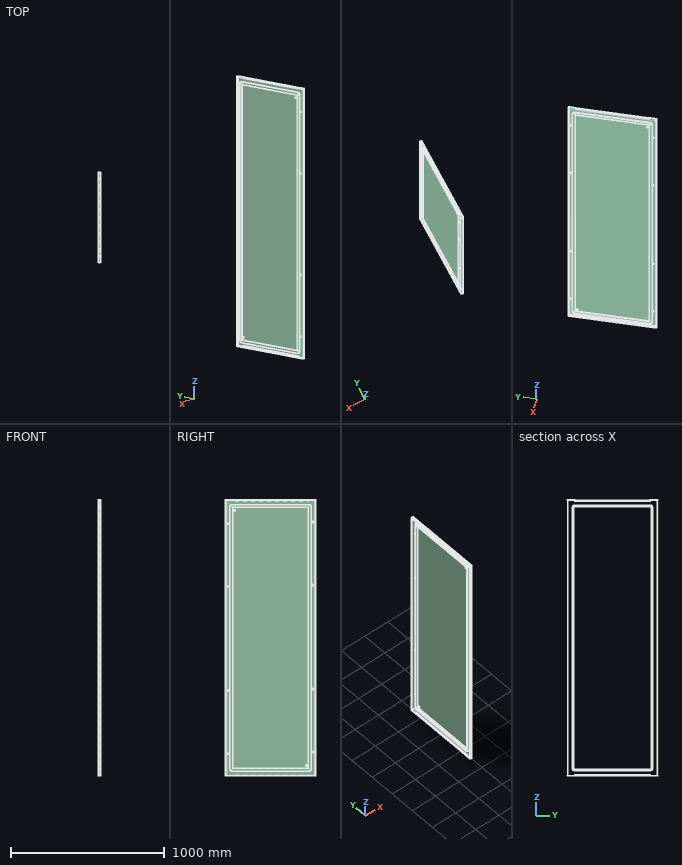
import cadquery as cq
import math

DEPTH = 17.0
WIDTH = 588.56
HEIGHT = 1796.0
SHEET = 1.5
INNER_FACE_X = DEPTH - SHEET

SIDE_BEND_RADIUS = 8.0
SIDE_LIP_LEAN = math.radians(15.0)
SIDE_LIP_START_X = 1.0

END_BEND_RADIUS = 3.0
END_LIP_DEPTH = 8.0
END_LIP_LENGTH = 492.0

GASKET_RADIUS = 9.25
GASKET_INNER_Y = 247.2
GASKET_INNER_Z = 850.0

HOLE_DIAMETER = 6.0
SIDE_HOLE_Y = 273.2
SIDE_HOLE_PAIR_MIDDLE_Z = 543.5
SIDE_HOLE_PAIR_PITCH = 411.0
SIDE_HOLE_ROW_SHIFT = 5.5

CORNER_HOLE_Y = 232.5
CORNER_HOLE_Z = 830.5


def block(x_min, x_max, y_size, z_size, z_middle=0.0):
    """Box centred on Y."""
    return cq.Workplane("XY").box(x_max - x_min, y_size, z_size).translate(
        ((x_min + x_max) / 2, 0, z_middle)
    )


def side_profile_solid(face_x, bend_radius):
    """Full-height solid bounded by both side bends and lips, from X = 0 to face_x."""
    centre_x = DEPTH - SIDE_BEND_RADIUS
    centre_y = WIDTH / 2 - SIDE_BEND_RADIUS

    def on_bend(angle):
        return centre_x + bend_radius * math.cos(angle), centre_y + bend_radius * math.sin(angle)

    bend_angle = math.pi / 2 + SIDE_LIP_LEAN
    middle_x, middle_y = on_bend(bend_angle / 2)
    lip_x, lip_y = on_bend(bend_angle)
    tip_y = lip_y - lip_x * math.tan(SIDE_LIP_LEAN)
    return (
        cq.Workplane("XY")
        .workplane(offset=-HEIGHT / 2)
        .moveTo(0, -tip_y)
        .lineTo(lip_x, -lip_y)
        .threePointArc((middle_x, -middle_y), (face_x, -centre_y))
        .lineTo(face_x, centre_y)
        .threePointArc((middle_x, middle_y), (lip_x, lip_y))
        .lineTo(0, tip_y)
        .close()
        .extrude(HEIGHT)
    )


def end_lip(side):
    """Return lip of the top (side = 1) or bottom (side = -1) flange."""
    middle_z = side * (HEIGHT - END_LIP_DEPTH) / 2
    return block(0, SHEET, END_LIP_LENGTH, END_LIP_DEPTH, middle_z)


def end_lip_rounding(side):
    """Material outside the bend between an end flange and its lip."""
    bend_z = side * (HEIGHT / 2 - END_BEND_RADIUS)
    corner_z = bend_z + side * END_BEND_RADIUS / 2
    corner = block(0, END_BEND_RADIUS, END_LIP_LENGTH, END_BEND_RADIUS, corner_z)
    roll = (
        cq.Workplane("XZ")
        .center(END_BEND_RADIUS, bend_z)
        .circle(END_BEND_RADIUS)
        .extrude(END_LIP_LENGTH / 2, both=True)
    )
    return corner.cut(roll)


def make_sheet():
    """Tray with bent sides, end flanges and end lips."""
    outer_ends = block(0, DEPTH, WIDTH, HEIGHT).edges(">X and |Y").fillet(END_BEND_RADIUS)
    sheet = side_profile_solid(DEPTH, SIDE_BEND_RADIUS).intersect(outer_ends)

    cavity_ends = (
        block(0, INNER_FACE_X, WIDTH, HEIGHT - 2 * SHEET)
        .edges(">X and |Y")
        .fillet(END_BEND_RADIUS - SHEET)
    )
    cavity = side_profile_solid(INNER_FACE_X, SIDE_BEND_RADIUS - SHEET).intersect(cavity_ends)
    sheet = sheet.cut(cavity)
    sheet = sheet.cut(block(0, SIDE_LIP_START_X, WIDTH, HEIGHT - 2 * SHEET))

    for side in (-1, 1):
        sheet = sheet.union(end_lip(side)).cut(end_lip_rounding(side))
    return sheet


def gasket_section():
    """Half-round outline in XY on the inner face, with its inner edge at Y = 0."""
    return (
        cq.Workplane("XY", origin=(INNER_FACE_X, 0, 0))
        .moveTo(0, 0)
        .threePointArc((-GASKET_RADIUS, GASKET_RADIUS), (0, 2 * GASKET_RADIUS))
        .close()
    )


def add_gasket(body):
    """Closed gasket frame: four sides and four corners, each a quarter turn on."""
    reaches = (
        (GASKET_INNER_Y, GASKET_INNER_Z),
        (GASKET_INNER_Z, GASKET_INNER_Y),
    )
    for quarter in range(4):
        reach, half_length = reaches[quarter % 2]
        bar = gasket_section().extrude(2 * half_length).translate((0, reach, -half_length))
        corner = gasket_section().revolve(90, (0, 0, 0), (1, 0, 0)).translate((0, reach, half_length))
        for piece in (bar, corner):
            body = body.union(piece.rotate((0, 0, 0), (1, 0, 0), 90 * quarter))
    return body


def hole_places():
    """(y, z) of every hole, as pairs related by a half turn about X."""
    places = [(-CORNER_HOLE_Y, CORNER_HOLE_Z)]
    for pair_middle in (-SIDE_HOLE_PAIR_MIDDLE_Z, SIDE_HOLE_PAIR_MIDDLE_Z):
        for step in (-0.5, 0.5):
            z = pair_middle + step * SIDE_HOLE_PAIR_PITCH + SIDE_HOLE_ROW_SHIFT
            places.append((SIDE_HOLE_Y, z))
    return places + [(-y, -z) for y, z in places]


def cut_holes(body):
    """Round holes through the panel face."""
    holes = cq.Workplane("YZ").pushPoints(hole_places()).circle(HOLE_DIAMETER / 2).extrude(DEPTH)
    return body.cut(holes)


result = cut_holes(add_gasket(make_sheet()))